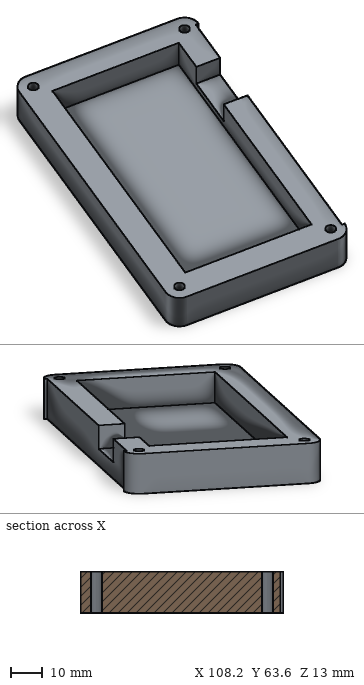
import cadquery as cq

length = 108.2
width = 63.6
height = 13.0
corner_radius = 5.0

back_relief = 1.0

pocket_length = 89.3
pocket_width = 44.8
front_rim = 9.4
floor_thickness = 3.0
pocket_depth = height - floor_thickness

notch_start = 21.3
notch_width = 18.4
notch_depth = 7.6

screw_diameter = 3.4
hole_spacing_x = length - 2 * corner_radius
hole_spacing_y = width - 2 * corner_radius

left_face = -length / 2
front_face = -width / 2
back_face = width / 2
pocket_front = front_face + front_rim
pocket_back = pocket_front + pocket_width


def top_cut(x_start, y_start, x_size, y_size, depth):
    """Box that removes material from the top face down to the given depth."""
    box = cq.Workplane("XY").box(x_size, y_size, depth, centered=False)
    return box.translate((x_start, y_start, height - depth))


body = (
    cq.Workplane("XY")
    .box(length, width, height, centered=(True, True, False))
    .edges("|Z")
    .fillet(corner_radius)
)

relief = top_cut(-hole_spacing_x / 2, back_face - back_relief, hole_spacing_x, back_relief, height)
pocket = top_cut(-pocket_length / 2, pocket_front, pocket_length, pocket_width, pocket_depth)
notch = top_cut(left_face + notch_start, pocket_back, notch_width, back_face - pocket_back, notch_depth)

screw_holes = (
    cq.Workplane("XY")
    .rect(hole_spacing_x, hole_spacing_y, forConstruction=True)
    .vertices()
    .circle(screw_diameter / 2)
    .extrude(height)
)

result = body.cut(relief).cut(pocket).cut(notch).cut(screw_holes)